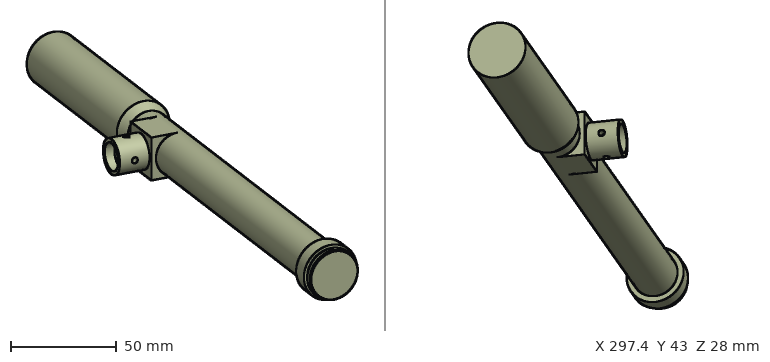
import cadquery as cq

total_length = 297.4
grip_diameter = 28.0
grip_length = 95.4
taper_length = 5.5
tube_diameter = 22.0

collar_diameter = grip_diameter
collar_start = 285.0
collar_length = 8.2
spigot_diameter = 25.4
spigot_chamfer = 0.5
neck_diameter = 24.0
neck_length = 0.8

block_size = tube_diameter
block_center_x = 119.8
block_reach = 13.4

connector_diameter = 18.0
connector_reach = 29.0
bore_diameter = 14.0
bore_depth = 5.0
inner_bore_diameter = 7.8
inner_bore_depth = connector_reach - block_reach
cross_hole_diameter = 3.0
cross_hole_y = -21.1


def x_cylinder(diameter, start, length):
    """Round bar along X from the given start."""
    return cq.Workplane("YZ").workplane(offset=start).circle(diameter / 2).extrude(length)


def y_cylinder(diameter, start_reach, end_reach):
    """Round bar on the connector axis between two distances towards -Y."""
    return (
        cq.Workplane("XZ", origin=(block_center_x, -start_reach, 0))
        .circle(diameter / 2)
        .extrude(end_reach - start_reach)
    )


def make_body():
    """Grip, taper and tube in one turned outline."""
    taper_end = grip_length + taper_length
    return (
        cq.Workplane("XY")
        .moveTo(0, 0)
        .lineTo(0, grip_diameter / 2)
        .lineTo(grip_length, grip_diameter / 2)
        .lineTo(taper_end, tube_diameter / 2)
        .lineTo(collar_start, tube_diameter / 2)
        .lineTo(collar_start, 0)
        .close()
        .revolve(360, (0, 0, 0), (1, 0, 0))
    )


def make_end_cap():
    """Collar, narrow neck and chamfered spigot."""
    neck_start = collar_start + collar_length
    spigot_start = neck_start + neck_length
    collar = x_cylinder(collar_diameter, collar_start, collar_length)
    neck = x_cylinder(neck_diameter, neck_start, neck_length)
    spigot = x_cylinder(spigot_diameter, spigot_start, total_length - spigot_start)
    return collar.union(neck).union(spigot.faces(">X").chamfer(spigot_chamfer))


def make_connector():
    """Square block and round connector, still solid."""
    block = cq.Workplane("XY").box(block_size, block_reach, block_size, centered=(True, False, True))
    block = block.translate((block_center_x, -block_reach, 0))
    barrel = y_cylinder(connector_diameter, block_reach, connector_reach)
    return block.union(barrel)


def cut_connector(part):
    """Stepped bore and the two crossing holes through the connector wall."""
    bores = ((bore_diameter, bore_depth), (inner_bore_diameter, inner_bore_depth))
    for diameter, depth in bores:
        part = part.cut(y_cylinder(diameter, connector_reach - depth, connector_reach))
    for plane in ("XY", "YZ"):
        cross_hole = (
            cq.Workplane(plane, origin=(block_center_x, cross_hole_y, 0))
            .circle(cross_hole_diameter / 2)
            .extrude(connector_diameter, both=True)
        )
        part = part.cut(cross_hole)
    return part


result = cut_connector(make_body().union(make_end_cap()).union(make_connector()))